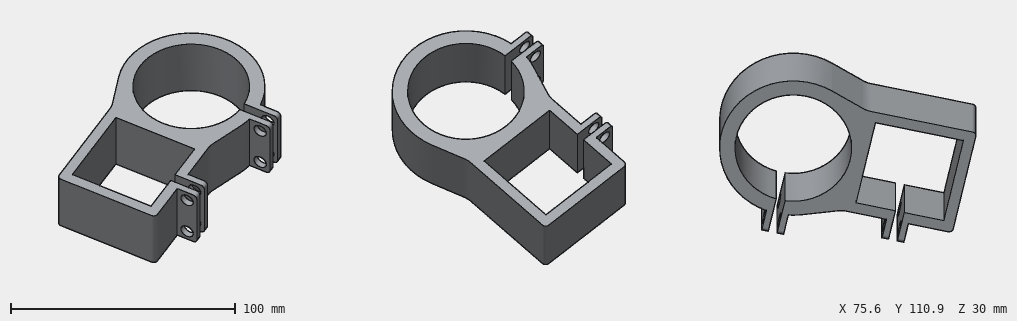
import cadquery as cq
import math

total_length = 110.9
height = 30.0

ring_radius = 32.8
bore_radius = 26.0
neck_tangent_drop = 10.9
neck_blend_radius = 10.0

window_side = 40.0
wall = 5.0
corner_radius = 2.0
square_half_width = window_side / 2 + wall
bottom_y = ring_radius - total_length
window_center_y = bottom_y + wall + window_side / 2

ear_reach = 10.0
ear_thickness = 3.0
ear_gap = 4.0
ear_corner_radius = 2.0
ear_hole_diameter = 6.2
ear_hole_inset = 5.0


def make_body():
    """Ring blended into a square block by a neck tangent to the ring."""
    tangent_y = -neck_tangent_drop
    tangent_x = math.sqrt(ring_radius**2 - neck_tangent_drop**2)
    neck_slope = neck_tangent_drop / tangent_x
    neck_end_y = tangent_y - (tangent_x - square_half_width) / neck_slope
    body = (
        cq.Workplane("XY")
        .moveTo(-tangent_x, tangent_y)
        .threePointArc((0, ring_radius), (tangent_x, tangent_y))
        .lineTo(square_half_width, neck_end_y)
        .lineTo(square_half_width, bottom_y)
        .lineTo(-square_half_width, bottom_y)
        .lineTo(-square_half_width, neck_end_y)
        .close()
        .extrude(height)
    )
    body = body.edges("|Z and <Y").fillet(corner_radius)
    for side in (-1, 1):
        bend_point = (side * square_half_width, neck_end_y, height / 2)
        bend = cq.selectors.NearestToPointSelector(bend_point)
        body = body.edges("|Z").edges(bend).fillet(neck_blend_radius)
    return body


def make_ears(root_x, tip_x, center_y):
    """Block for one pair of ears, with rounded tips and two bolt holes."""
    length = tip_x - root_x
    depth = 2 * ear_thickness + ear_gap
    ears = (
        cq.Workplane("XY")
        .box(length, depth, height, centered=(False, True, False))
        .translate((root_x, center_y, 0))
        .edges("|Y and >X")
        .fillet(ear_corner_radius)
    )
    hole_x = tip_x - ear_hole_inset
    for hole_z in (ear_hole_inset, height - ear_hole_inset):
        hole = (
            cq.Workplane("XZ", origin=(hole_x, center_y, hole_z))
            .circle(ear_hole_diameter / 2)
            .extrude(depth / 2, both=True)
        )
        ears = ears.cut(hole)
    return ears


def make_slot(tip_x, center_y):
    """Gap running from the middle of the clamp opening out past the ear tips."""
    return (
        cq.Workplane("XY")
        .box(tip_x, ear_gap, height, centered=(False, True, False))
        .translate((0, center_y, 0))
    )


ring_ear_tip = ring_radius + ear_reach
square_ear_tip = square_half_width + ear_reach

result = make_body()
result = result.union(make_ears(bore_radius, ring_ear_tip, 0))
result = result.union(make_ears(window_side / 2, square_ear_tip, window_center_y))

bore = cq.Workplane("XY").circle(bore_radius).extrude(height)
window = (
    cq.Workplane("XY")
    .center(0, window_center_y)
    .rect(window_side, window_side)
    .extrude(height)
)
result = result.cut(bore).cut(window)
result = result.cut(make_slot(ring_ear_tip, 0))
result = result.cut(make_slot(square_ear_tip, window_center_y))